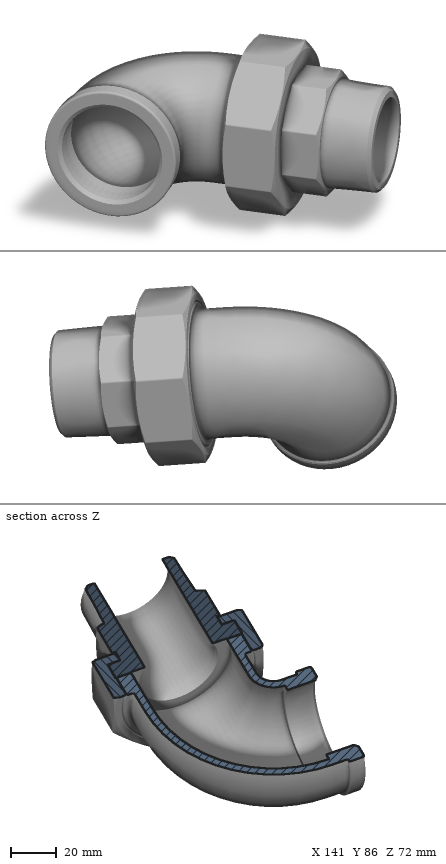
import cadquery as cq
import math


PIPE_DIAMETER = 57.0
PIPE_BORE = 50.0
BEND_RADIUS = 35.0

COLLAR_DIAMETER = 60.0
COLLAR_FACE_Y = -50.0
COLLAR_LENGTH = 7.5
COLLAR_FRONT_FILLET = 1.0
COLLAR_BACK_CHAMFER = 0.5
SOCKET_DIAMETER = 44.84
SOCKET_MOUTH_DIAMETER = 48.0

NUT_START_X = 47.0
NUT_END_X = 71.0
NUT_WIDTH = 72.0
NUT_FACE_DIAMETER = 71.0
NUT_BORE = 63.75
NUT_MOUTH_DIAMETER = 65.0
LIP_THICKNESS = 5.0
LIP_BORE = 52.5

FLANGE_START_X = 46.75
FLANGE_END_X = 58.0
FLANGE_FACE_DIAMETER = 62.5
FLANGE_ROOT_FILLET = 1.0

WRENCH_START_X = 71.3
WRENCH_END_X = 88.3
WRENCH_WIDTH = 52.0
WRENCH_FACE_DIAMETER = 50.5
THREAD_END_X = 111.0
THREAD_TIP_DIAMETER = 47.0
THREAD_TAPER = 1 / 16
THREAD_CHAMFER = 1.6
MALE_BORE = 38.0

FLAT_COUNT = 8
CORNER_FILLET = 1.0
CROWN_ANGLE = 25.0


def cylinder_x(diameter, start, end):
    """Solid cylinder on the X axis between two X positions."""
    return cq.Workplane("YZ", origin=(start, 0, 0)).circle(diameter / 2).extrude(end - start)


def revolve_x(points):
    """Revolve a profile of (x, radius) points about the X axis."""
    return cq.Workplane("XY").polyline(points).close().revolve(360, (0, 0, 0), (1, 0, 0))


def octagon_x(width, start, end):
    """Octagonal bar on the X axis with flats facing Y and Z and rounded corners."""
    corner_angle = 180 / FLAT_COUNT
    across_corners = width / math.cos(math.radians(corner_angle))
    bar = (
        cq.Workplane("YZ", origin=(start, 0, 0))
        .transformed(rotate=(0, 0, corner_angle))
        .polygon(FLAT_COUNT, across_corners)
        .extrude(end - start)
    )
    return bar.edges("|X").fillet(CORNER_FILLET)


def crown(face_x, face_diameter, width, direction):
    """Cone that trims the corners of an octagon; it widens from the face along direction."""
    face_radius = face_diameter / 2
    depth = width * math.tan(math.radians(CROWN_ANGLE))
    back_x = face_x + direction * depth
    return revolve_x([(face_x, 0), (face_x, face_radius), (back_x, face_radius + width), (back_x, 0)])


def make_inlet():
    """Straight pipe and collar along Y, bored through as the threaded socket."""
    pipe_radius = PIPE_DIAMETER / 2
    collar_radius = COLLAR_DIAMETER / 2
    socket_radius = SOCKET_DIAMETER / 2
    mouth_radius = SOCKET_MOUTH_DIAMETER / 2
    mouth_depth = mouth_radius - socket_radius
    collar_back_y = COLLAR_FACE_Y + COLLAR_LENGTH
    arc_offset = COLLAR_FRONT_FILLET * (1 - math.sin(math.radians(45)))
    return (
        cq.Workplane("XY")
        .moveTo(socket_radius, -BEND_RADIUS)
        .lineTo(pipe_radius, -BEND_RADIUS)
        .lineTo(pipe_radius, collar_back_y)
        .lineTo(collar_radius - COLLAR_BACK_CHAMFER, collar_back_y)
        .lineTo(collar_radius, collar_back_y - COLLAR_BACK_CHAMFER)
        .lineTo(collar_radius, COLLAR_FACE_Y + COLLAR_FRONT_FILLET)
        .threePointArc(
            (collar_radius - arc_offset, COLLAR_FACE_Y + arc_offset),
            (collar_radius - COLLAR_FRONT_FILLET, COLLAR_FACE_Y),
        )
        .lineTo(mouth_radius, COLLAR_FACE_Y)
        .lineTo(socket_radius, COLLAR_FACE_Y + mouth_depth)
        .close()
        .revolve(360, (0, 0, 0), (0, 1, 0))
    )


def make_bend():
    """Quarter-turn pipe from the inlet direction to the run direction."""
    return (
        cq.Workplane("XZ", origin=(0, -BEND_RADIUS, 0))
        .circle(PIPE_DIAMETER / 2)
        .circle(PIPE_BORE / 2)
        .revolve(90, (BEND_RADIUS, 0, 0), (BEND_RADIUS, -1, 0))
    )


def make_run():
    """Straight pipe along X that flares through a concave fillet into the flange."""
    pipe_radius = PIPE_DIAMETER / 2
    bore_radius = PIPE_BORE / 2
    face_radius = FLANGE_FACE_DIAMETER / 2
    flange_radius = NUT_BORE / 2
    edge_chamfer = flange_radius - face_radius
    fillet_start_x = FLANGE_START_X - FLANGE_ROOT_FILLET
    fillet_top = pipe_radius + FLANGE_ROOT_FILLET
    arc_offset = FLANGE_ROOT_FILLET * math.sin(math.radians(45))
    return (
        cq.Workplane("XY")
        .moveTo(BEND_RADIUS, bore_radius)
        .lineTo(BEND_RADIUS, pipe_radius)
        .lineTo(fillet_start_x, pipe_radius)
        .threePointArc(
            (fillet_start_x + arc_offset, fillet_top - arc_offset),
            (FLANGE_START_X, fillet_top),
        )
        .lineTo(FLANGE_START_X, face_radius)
        .lineTo(FLANGE_START_X + edge_chamfer, flange_radius)
        .lineTo(FLANGE_END_X, flange_radius)
        .lineTo(FLANGE_END_X, bore_radius)
        .close()
        .revolve(360, (0, 0, 0), (1, 0, 0))
    )


def make_elbow():
    return make_inlet().union(make_bend()).union(make_run())


def make_nut():
    body = octagon_x(NUT_WIDTH, NUT_START_X, NUT_END_X)
    body = body.intersect(crown(NUT_START_X, NUT_FACE_DIAMETER, NUT_WIDTH, 1))
    body = body.intersect(crown(NUT_END_X, NUT_FACE_DIAMETER, NUT_WIDTH, -1))

    lip_x = NUT_END_X - LIP_THICKNESS
    mouth_depth = (NUT_MOUTH_DIAMETER - NUT_BORE) / 2
    passage = revolve_x([
        (NUT_START_X, 0),
        (NUT_START_X, NUT_MOUTH_DIAMETER / 2),
        (NUT_START_X + mouth_depth, NUT_BORE / 2),
        (lip_x, NUT_BORE / 2),
        (lip_x, LIP_BORE / 2),
        (NUT_END_X, LIP_BORE / 2),
        (NUT_END_X, 0),
    ])
    return body.cut(passage)


def make_male_end():
    shoulder = cylinder_x(NUT_BORE, FLANGE_END_X, NUT_END_X - LIP_THICKNESS)
    neck = cylinder_x(LIP_BORE, NUT_END_X - LIP_THICKNESS, WRENCH_START_X)

    wrench = octagon_x(WRENCH_WIDTH, WRENCH_START_X, WRENCH_END_X)
    wrench = wrench.intersect(crown(WRENCH_END_X, WRENCH_FACE_DIAMETER, WRENCH_WIDTH, -1))

    tip_radius = THREAD_TIP_DIAMETER / 2
    root_radius = tip_radius + (THREAD_END_X - WRENCH_END_X) * THREAD_TAPER / 2
    thread = revolve_x([
        (WRENCH_END_X, 0),
        (WRENCH_END_X, root_radius),
        (THREAD_END_X, tip_radius),
        (THREAD_END_X, 0),
    ]).faces(">X").chamfer(THREAD_CHAMFER)

    body = shoulder.union(neck).union(wrench).union(thread)
    return body.cut(cylinder_x(MALE_BORE, FLANGE_END_X, THREAD_END_X))


elbow = make_elbow().solids()
nut = make_nut().solids()
male_end = make_male_end().solids()

result = cq.Compound.makeCompound([elbow.val(), nut.val(), male_end.val()])